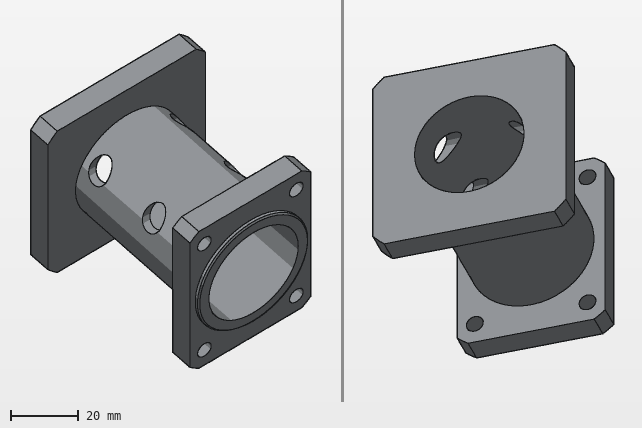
import cadquery as cq

total_length = 67.0
flange_thickness = 8.0
spigot_length = 1.5
end_flange_start = total_length - spigot_length - flange_thickness

tube_diameter = 39.0
bore_diameter = 34.0
spigot_diameter = 42.0
spigot_edge_chamfer = 0.5

base_flange_size = 60.0
base_flange_corner_diameter = 80.0
end_flange_width = 46.0
end_flange_height = 58.0
end_flange_corner_diameter = 70.0

cross_hole_diameter = 8.0
cross_hole_height = 11.25
first_cross_hole_x = 14.75
cross_hole_pitch = 25.0
cross_hole_count = 2

mount_hole_diameter = 5.2
mount_hole_spacing_y = 35.0
mount_hole_spacing_z = 45.0


def cylinder_along_x(diameter, start_x, end_x):
    return cq.Workplane("YZ", origin=(start_x, 0, 0)).circle(diameter / 2).extrude(end_x - start_x)


def flange(start_x, width, height, corner_diameter):
    """Rectangular plate across the tube axis, its corners trimmed by a concentric cylinder."""
    plate = cq.Workplane("YZ", origin=(start_x, 0, 0)).rect(width, height).extrude(flange_thickness)
    return plate.intersect(cylinder_along_x(corner_diameter, start_x, start_x + flange_thickness))


def spigot():
    """Short locating ring with a bevelled outer edge, standing proud of the end flange."""
    ring = cylinder_along_x(spigot_diameter, end_flange_start, total_length)
    return ring.faces(">X").edges().chamfer(spigot_edge_chamfer)


def cross_holes():
    """Drillings right across the tube, above its axis."""
    centers = [
        (first_cross_hole_x + i * cross_hole_pitch, cross_hole_height)
        for i in range(cross_hole_count)
    ]
    return (
        cq.Workplane("XZ")
        .pushPoints(centers)
        .circle(cross_hole_diameter / 2)
        .extrude(tube_diameter / 2, both=True)
    )


def mount_holes():
    """Four corner holes through the end flange."""
    return (
        cq.Workplane("YZ", origin=(end_flange_start, 0, 0))
        .rect(mount_hole_spacing_y, mount_hole_spacing_z, forConstruction=True)
        .vertices()
        .circle(mount_hole_diameter / 2)
        .extrude(flange_thickness)
    )


body = (
    flange(0, base_flange_size, base_flange_size, base_flange_corner_diameter)
    .union(cylinder_along_x(tube_diameter, 0, end_flange_start))
    .union(flange(end_flange_start, end_flange_width, end_flange_height, end_flange_corner_diameter))
    .union(spigot())
)
result = (
    body.cut(cylinder_along_x(bore_diameter, 0, total_length))
    .cut(cross_holes())
    .cut(mount_holes())
)